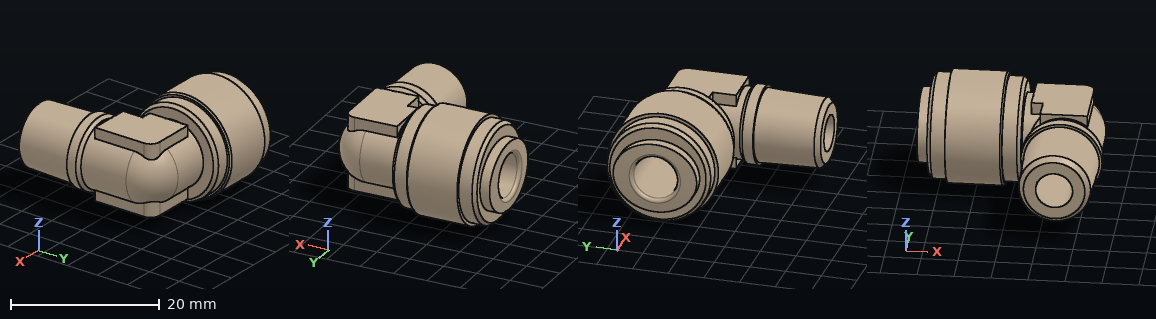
import cadquery as cq
import math


ELBOW_RADIUS = 5.0
BORE_RADIUS = 2.5

PAD_HALF_WIDTH = 3.2
PAD_HALF_HEIGHT = 5.5
PAD_TUBE_END = -4.75
PAD_THREAD_END = -6.5
PAD_CORNER_RADIUS = 1.5

BODY_FRONT = -18.5
SLEEVE_FRONT = -16.0
SLEEVE_BACK = -8.3
BODY_BACK = -5.8
NOSE_RADIUS = 7.25
SLEEVE_RADIUS = 7.75
COLLAR_RADIUS = 7.17
BODY_CHAMFER = 0.5
SLEEVE_CHAMFER = 0.25

RING_FRONT = -20.1
RING_HALF_WIDTH = 5.85
RING_HALF_HEIGHT = 5.0
RING_FACE_DROP = 0.15

SOCKET_RADIUS = 3.1
LIP_RADIUS = 0.5
SOCKET_FLOOR = BODY_BACK - BODY_CHAMFER

FLANGE_RADIUS = 5.5
FLANGE_BACK = -7.5
FLANGE_FRONT = -9.5
FLANGE_CHAMFER = 0.5
THREAD_END = -18.6
THREAD_ROOT_RADIUS = 5.12
THREAD_CHAMFER = 0.7
TAPER_PER_LENGTH = 1 / 32


def revolve_about_x(points):
    """Solid of revolution from (x, radius) points."""
    return cq.Workplane("XY").polyline(points).close().revolve(360, (0, 0), (1, 0))


def revolve_about_y(points):
    """Solid of revolution from (radius, y) points."""
    return cq.Workplane("XY").polyline(points).close().revolve(360, (0, 0), (0, 1))


def round_elbow(radius, tube_end, thread_end):
    """Two cylinders that meet at the origin in a ball of the same radius."""
    tube_leg = cq.Workplane("YZ").circle(radius).extrude(tube_end)
    thread_leg = cq.Workplane("XZ").circle(radius).extrude(-thread_end)
    return tube_leg.union(thread_leg).union(cq.Workplane("XY").sphere(radius))


def pads():
    """L-shaped block whose flat top and bottom stand proud of the elbow."""
    w = PAD_HALF_WIDTH
    outline = [
        (PAD_TUBE_END, w),
        (w, w),
        (w, PAD_THREAD_END),
        (-w, PAD_THREAD_END),
        (-w, -w),
        (PAD_TUBE_END, -w),
    ]
    block = cq.Workplane("XY").polyline(outline).close().extrude(PAD_HALF_HEIGHT, both=True)
    outer_corner = cq.selectors.NearestToPointSelector((w, w, 0))
    return block.edges(outer_corner).fillet(PAD_CORNER_RADIUS)


def push_in_body():
    """Chamfered nose, gripping sleeve and rear collar."""
    return revolve_about_x([
        (BODY_FRONT, 0),
        (BODY_FRONT, NOSE_RADIUS - BODY_CHAMFER),
        (BODY_FRONT + BODY_CHAMFER, NOSE_RADIUS),
        (SLEEVE_FRONT, NOSE_RADIUS),
        (SLEEVE_FRONT, SLEEVE_RADIUS),
        (SLEEVE_BACK - SLEEVE_CHAMFER, SLEEVE_RADIUS),
        (SLEEVE_BACK, SLEEVE_RADIUS - SLEEVE_CHAMFER),
        (SLEEVE_BACK, COLLAR_RADIUS),
        (BODY_BACK - BODY_CHAMFER, COLLAR_RADIUS),
        (BODY_BACK, COLLAR_RADIUS - BODY_CHAMFER),
        (BODY_BACK, 0),
    ])


def release_ring():
    """Elliptical ring trimmed by a shallow cone that falls away from the socket mouth."""
    ellipse = (
        cq.Workplane("YZ", origin=(RING_FRONT, 0, 0))
        .ellipse(RING_HALF_WIDTH, RING_HALF_HEIGHT)
        .extrude(BODY_FRONT - RING_FRONT)
    )
    cone_faced_disc = revolve_about_x([
        (RING_FRONT, 0),
        (RING_FRONT, SOCKET_RADIUS + LIP_RADIUS),
        (RING_FRONT + RING_FACE_DROP, RING_HALF_WIDTH),
        (BODY_FRONT, RING_HALF_WIDTH),
        (BODY_FRONT, 0),
    ])
    return ellipse.intersect(cone_faced_disc)


def threaded_end():
    """Chamfered flange followed by the tapered thread envelope."""
    chamfer_start = THREAD_END + THREAD_CHAMFER
    taper = (FLANGE_FRONT - chamfer_start) * TAPER_PER_LENGTH
    tip_radius = THREAD_ROOT_RADIUS - taper
    return revolve_about_y([
        (0, FLANGE_BACK),
        (FLANGE_RADIUS - FLANGE_CHAMFER, FLANGE_BACK),
        (FLANGE_RADIUS, FLANGE_BACK - FLANGE_CHAMFER),
        (FLANGE_RADIUS, FLANGE_FRONT),
        (THREAD_ROOT_RADIUS, FLANGE_FRONT),
        (tip_radius, chamfer_start),
        (tip_radius - THREAD_CHAMFER, THREAD_END),
        (0, THREAD_END),
    ])


def tube_socket():
    """Blind hole for the tube, with a rounded lip at its mouth."""
    lip_x = RING_FRONT + LIP_RADIUS
    lip_y = SOCKET_RADIUS + LIP_RADIUS
    diagonal = LIP_RADIUS * math.cos(math.pi / 4)
    return (
        cq.Workplane("XY")
        .moveTo(RING_FRONT, 0)
        .lineTo(RING_FRONT, lip_y)
        .threePointArc((lip_x - diagonal, lip_y - diagonal), (lip_x, SOCKET_RADIUS))
        .lineTo(SOCKET_FLOOR, SOCKET_RADIUS)
        .lineTo(SOCKET_FLOOR, 0)
        .close()
        .revolve(360, (0, 0), (1, 0))
    )


outer = (
    round_elbow(ELBOW_RADIUS, BODY_BACK, FLANGE_BACK)
    .union(pads())
    .union(push_in_body())
    .union(release_ring())
    .union(threaded_end())
)
result = outer.cut(round_elbow(BORE_RADIUS, SOCKET_FLOOR, THREAD_END)).cut(tube_socket())